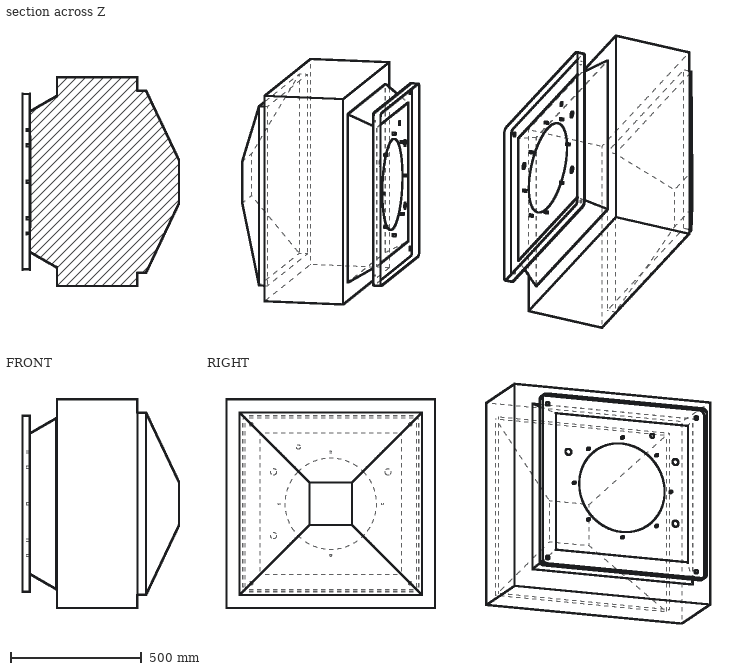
import cadquery as cq
import math

OVERALL_LENGTH = 600.79

HOUSING_SIDE = 800.0
HOUSING_DEPTH = 309.0

TRAY_SIDE = 674.0
TRAY_DEPTH = 30.0
TRAY_CORNER_RADIUS = 20.0
SHEET = 2.0

ADAPTER_SMALL_SIDE = 540.0
ADAPTER_FLARE_DEPTH = 100.0
ADAPTER_FLARE_ANGLE = 30.0
ADAPTER_LIP = 2.0

COLLAR_SIDE = 698.0
COLLAR_DEPTH = 33.0
HOOD_TIP_SIDE = 163.0

FACE_STEP = 1.0
DUCT_DIAMETER = 350.0
CORNER_HOLE_SPACING = 608.0
CORNER_HOLE_DIAMETER = 14.0
STUD_CIRCLE_DIAMETER = 395.0
STUD_COUNT = 8
STUD_DIAMETER = 8.0
STUD_LENGTH = 12.0
CABLE_KNOCKOUT_Y = 219.0
CABLE_KNOCKOUT_Z = 122.0
CABLE_KNOCKOUT_DIAMETER = 24.0
SMALL_KNOCKOUT_Y = -124.0
SMALL_KNOCKOUT_Z = 217.0
SMALL_KNOCKOUT_DIAMETER = 16.0

ADAPTER_FLARE = ADAPTER_FLARE_DEPTH * math.tan(math.radians(ADAPTER_FLARE_ANGLE))
ADAPTER_LARGE_SIDE = ADAPTER_SMALL_SIDE + 2 * ADAPTER_FLARE
LIP_X = TRAY_DEPTH + ADAPTER_FLARE_DEPTH
HOUSING_X = LIP_X + ADAPTER_LIP
COLLAR_X = HOUSING_X + HOUSING_DEPTH
HOOD_X = COLLAR_X + COLLAR_DEPTH
TRAY_FLOOR_X = TRAY_DEPTH - SHEET
ADAPTER_FACE_X = TRAY_FLOOR_X + FACE_STEP


def plane_at(x):
    """YZ plane at a distance x from the open tray face."""
    return cq.Workplane("YZ", origin=(x, 0, 0))


def square_block(x, side, depth):
    return plane_at(x).rect(side, side).extrude(depth)


def frustum(x, first_side, last_side, depth):
    """Square section that changes size evenly along X."""
    return (
        plane_at(x)
        .rect(first_side, first_side)
        .workplane(offset=depth)
        .rect(last_side, last_side)
        .loft(ruled=True)
    )


def cylinders(x, points, diameter, depth):
    return plane_at(x).pushPoints(points).circle(diameter / 2).extrude(depth)


def make_tray():
    shell = square_block(0, TRAY_SIDE, TRAY_DEPTH)
    shell = shell.edges("|X").fillet(TRAY_CORNER_RADIUS)
    inside = square_block(0, TRAY_SIDE - 2 * SHEET, TRAY_FLOOR_X)
    inside = inside.edges("|X").fillet(TRAY_CORNER_RADIUS - SHEET)
    return shell.cut(inside)


def make_body():
    adapter = frustum(TRAY_DEPTH, ADAPTER_SMALL_SIDE, ADAPTER_LARGE_SIDE, ADAPTER_FLARE_DEPTH)
    lip = square_block(LIP_X, ADAPTER_LARGE_SIDE, ADAPTER_LIP)
    housing = square_block(HOUSING_X, HOUSING_SIDE, HOUSING_DEPTH)
    collar = square_block(COLLAR_X, COLLAR_SIDE, COLLAR_DEPTH)
    hood = frustum(HOOD_X, COLLAR_SIDE, HOOD_TIP_SIDE, OVERALL_LENGTH - HOOD_X)
    return make_tray().union(adapter).union(lip).union(housing).union(collar).union(hood)


def cut_face_steps(body):
    """Set the adapter face back from the tray floor, and the duct cover back from the adapter face."""
    face = square_block(TRAY_FLOOR_X, ADAPTER_SMALL_SIDE, FACE_STEP)
    duct = cylinders(ADAPTER_FACE_X, [(0, 0)], DUCT_DIAMETER, FACE_STEP)
    return body.cut(face).cut(duct)


def cut_corner_holes(body):
    """Screw holes through the tray floor, outside the adapter."""
    corner = CORNER_HOLE_SPACING / 2
    corner_points = [(y, z) for y in (-corner, corner) for z in (-corner, corner)]
    return body.cut(cylinders(TRAY_FLOOR_X, corner_points, CORNER_HOLE_DIAMETER, SHEET))


def cut_knockouts(body):
    """Shallow round cable knockouts in the adapter face."""
    cable_points = [
        (CABLE_KNOCKOUT_Y, CABLE_KNOCKOUT_Z),
        (-CABLE_KNOCKOUT_Y, CABLE_KNOCKOUT_Z),
        (-CABLE_KNOCKOUT_Y, -CABLE_KNOCKOUT_Z),
    ]
    body = body.cut(cylinders(ADAPTER_FACE_X, cable_points, CABLE_KNOCKOUT_DIAMETER, FACE_STEP))
    small_points = [(SMALL_KNOCKOUT_Y, SMALL_KNOCKOUT_Z)]
    return body.cut(cylinders(ADAPTER_FACE_X, small_points, SMALL_KNOCKOUT_DIAMETER, FACE_STEP))


def add_studs(body):
    """Ring of studs standing out from the adapter face, around the duct cover."""
    radius = STUD_CIRCLE_DIAMETER / 2
    points = []
    for index in range(STUD_COUNT):
        angle = 2 * math.pi * index / STUD_COUNT
        points.append((radius * math.cos(angle), radius * math.sin(angle)))
    return body.union(cylinders(ADAPTER_FACE_X, points, STUD_DIAMETER, -STUD_LENGTH))


body = make_body()
body = cut_face_steps(body)
body = cut_corner_holes(body)
body = cut_knockouts(body)
result = add_studs(body)